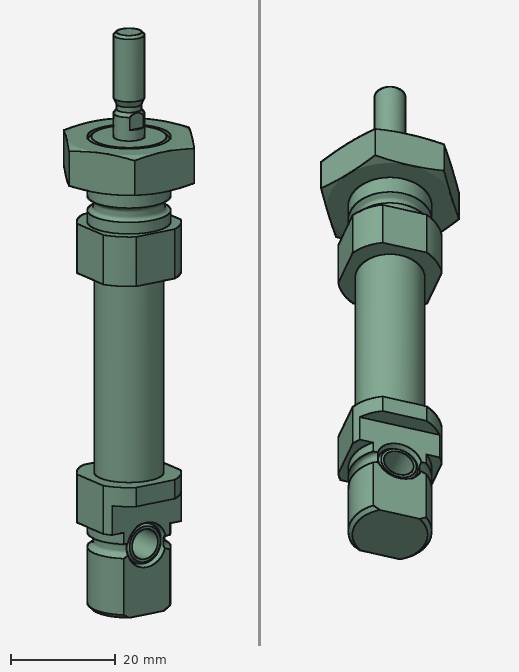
import cadquery as cq
import math

OVERALL_HEIGHT = 115.0
REAR_CONE_START = 12.1
PIVOT_Z = 13.9
REAR_BLOCK_BOTTOM = 17.2
REAR_FLATS_TOP = 23.1
REAR_BLOCK_TOP = 26.9
FRONT_BLOCK_BOTTOM = 67.2
FRONT_BLOCK_TOP = 77.0
FRONT_WALL = 79.4
HOUSING_TOP = 94.1

THREAD_RADIUS = 16.0 / 2
TUBE_RADIUS = 13.3 / 2
THREAD_CHAMFER = 0.8
BLOCK_WIDTH = 17.9
BLOCK_DIAMETER = 20.0
REAR_WIDTH = 12.0
RELIEF_RADIUS = 13.7 / 2
RELIEF_LENGTH = 2.9
RELIEF_FILLET = 0.8
RELIEF_ANGLE = math.radians(55)

PIVOT_DIAMETER = 6.0
PIVOT_RIM_DIAMETER = 7.1
PIVOT_GROOVE_DIAMETER = 8.0
PIVOT_MOUTH_DIAMETER = 9.0
PIVOT_RIM_DEPTH = 0.6
PIVOT_GROOVE_DEPTH = 1.0

NUT_WIDTH = 24.0
NUT_HEIGHT = 8.0
NUT_CORNER_DROP = 0.6
NUT_TOP = HOUSING_TOP

ROD_RADIUS = 6.0 / 2
ROD_TIP_CHAMFER = 0.6
ROD_BOTTOM = FRONT_BLOCK_BOTTOM
ROD_NECK_RADIUS = 4.8 / 2
ROD_THREAD_BOTTOM = 101.9
ROD_NECK_TOP = 100.6
ROD_NECK_BOTTOM = 99.6
ROD_SHOULDER = 98.8
ROD_FLATS_WIDTH = 5.1
ROD_FLATS_BOTTOM = 96.3


def cylinder(radius, bottom, top):
    return cq.Workplane("XY").workplane(offset=bottom).circle(radius).extrude(top - bottom)


def relief_cutter(wall_z, direction):
    """Ring for a thread relief: a filleted wall at wall_z, then a floor, then a cone.

    direction is +1 when the relief runs upward from its wall and -1 when it runs downward.
    """
    def point(radius, distance):
        return (radius, wall_z + direction * distance)

    fillet_centre = RELIEF_RADIUS + RELIEF_FILLET

    def arc_point(distance, angle):
        return point(
            fillet_centre - RELIEF_FILLET * math.cos(angle),
            distance + RELIEF_FILLET * math.sin(angle),
        )

    arc_rise = RELIEF_FILLET * (1 - math.cos(RELIEF_ANGLE))
    arc_length = RELIEF_FILLET * math.sin(RELIEF_ANGLE)
    cone_rise = THREAD_RADIUS - RELIEF_RADIUS - arc_rise
    cone_length = cone_rise / math.tan(RELIEF_ANGLE)
    floor_end = RELIEF_LENGTH - cone_length - arc_length
    outside = BLOCK_DIAMETER / 2
    return (
        cq.Workplane("XZ")
        .moveTo(*point(outside, 0))
        .lineTo(*point(fillet_centre, 0))
        .threePointArc(arc_point(RELIEF_FILLET, -math.pi / 4), point(RELIEF_RADIUS, RELIEF_FILLET))
        .lineTo(*point(RELIEF_RADIUS, floor_end))
        .threePointArc(arc_point(floor_end, RELIEF_ANGLE / 2), arc_point(floor_end, RELIEF_ANGLE))
        .lineTo(*point(THREAD_RADIUS, RELIEF_LENGTH))
        .lineTo(*point(outside, RELIEF_LENGTH))
        .close()
        .revolve(360, (0, 0, 0), (0, 1, 0))
    )


def end_block(bottom, top):
    """Square block whose corners are rounded by a cylinder on the axis."""
    square = (
        cq.Workplane("XY").workplane(offset=bottom).rect(BLOCK_WIDTH, BLOCK_WIDTH).extrude(top - bottom)
    )
    return square.intersect(cylinder(BLOCK_DIAMETER / 2, bottom, top))


def side_slabs(width, bottom, top):
    """Two slabs that leave a pair of flats across X, the given width apart."""
    return (
        cq.Workplane("XY")
        .workplane(offset=bottom)
        .rect(2 * BLOCK_WIDTH, 2 * BLOCK_WIDTH)
        .rect(width, 2 * BLOCK_WIDTH)
        .extrude(top - bottom)
    )


def pivot_cutter():
    """Cross hole along X; each mouth has a sunken flat rim inside a V-shaped ring groove."""
    half_width = REAR_WIDTH / 2
    rim = half_width - PIVOT_RIM_DEPTH
    groove = half_width - PIVOT_GROOVE_DEPTH
    bore_radius = PIVOT_DIAMETER / 2
    rim_radius = PIVOT_RIM_DIAMETER / 2
    groove_radius = PIVOT_GROOVE_DIAMETER / 2
    mouth_radius = PIVOT_MOUTH_DIAMETER / 2
    half_profile = [
        (half_width, 0),
        (half_width, mouth_radius),
        (groove, groove_radius),
        (rim, rim_radius),
        (rim, bore_radius),
    ]
    mirrored_profile = [(-x, radius) for x, radius in reversed(half_profile)]
    cutter = (
        cq.Workplane("XZ")
        .polyline(half_profile + mirrored_profile)
        .close()
        .revolve(360, (0, 0, 0), (1, 0, 0))
    )
    return cutter.translate((0, 0, PIVOT_Z))


def make_housing():
    rear_thread = cylinder(THREAD_RADIUS, 0, REAR_BLOCK_BOTTOM).faces("<Z").chamfer(THREAD_CHAMFER)
    rear_thread = rear_thread.cut(relief_cutter(REAR_CONE_START + RELIEF_LENGTH, -1))
    front_thread = cylinder(THREAD_RADIUS, FRONT_BLOCK_TOP, HOUSING_TOP).faces(">Z").chamfer(THREAD_CHAMFER)
    front_thread = front_thread.cut(relief_cutter(FRONT_WALL, 1))
    body = (
        cylinder(TUBE_RADIUS, REAR_BLOCK_TOP, FRONT_BLOCK_BOTTOM)
        .union(end_block(REAR_BLOCK_BOTTOM, REAR_BLOCK_TOP))
        .union(end_block(FRONT_BLOCK_BOTTOM, FRONT_BLOCK_TOP))
        .union(rear_thread)
        .union(front_thread)
    )
    rod_socket = cylinder(ROD_RADIUS, ROD_BOTTOM, HOUSING_TOP)
    return body.cut(side_slabs(REAR_WIDTH, 0, REAR_FLATS_TOP)).cut(pivot_cutter()).cut(rod_socket)


def make_nut():
    corner_radius = NUT_WIDTH / math.sqrt(3)
    nut_bottom = NUT_TOP - NUT_HEIGHT
    hexagon = (
        cq.Workplane("XY")
        .workplane(offset=nut_bottom)
        .polygon(6, 2 * corner_radius)
        .extrude(NUT_HEIGHT)
        .rotate((0, 0, 0), (0, 0, 1), 30)
    )
    chamfer_width = corner_radius - NUT_WIDTH / 2
    chamfered_disc = (
        cylinder(corner_radius, nut_bottom, NUT_TOP)
        .faces(">Z")
        .chamfer(NUT_CORNER_DROP, chamfer_width)
        .faces("<Z")
        .chamfer(NUT_CORNER_DROP, chamfer_width)
    )
    return hexagon.intersect(chamfered_disc).cut(cylinder(THREAD_RADIUS, nut_bottom, NUT_TOP))


def make_rod():
    profile = [
        (0, ROD_BOTTOM),
        (ROD_RADIUS, ROD_BOTTOM),
        (ROD_RADIUS, ROD_SHOULDER),
        (ROD_NECK_RADIUS, ROD_NECK_BOTTOM),
        (ROD_NECK_RADIUS, ROD_NECK_TOP),
        (ROD_RADIUS, ROD_THREAD_BOTTOM),
        (ROD_RADIUS, OVERALL_HEIGHT - ROD_TIP_CHAMFER),
        (ROD_RADIUS - ROD_TIP_CHAMFER, OVERALL_HEIGHT),
        (0, OVERALL_HEIGHT),
    ]
    rod = cq.Workplane("XZ").polyline(profile).close().revolve(360, (0, 0, 0), (0, 1, 0))
    return rod.cut(side_slabs(ROD_FLATS_WIDTH, ROD_FLATS_BOTTOM, ROD_NECK_BOTTOM))


housing = make_housing()
nut = make_nut()
rod = make_rod()

result = cq.Compound.makeCompound([housing.val(), nut.val(), rod.val()])